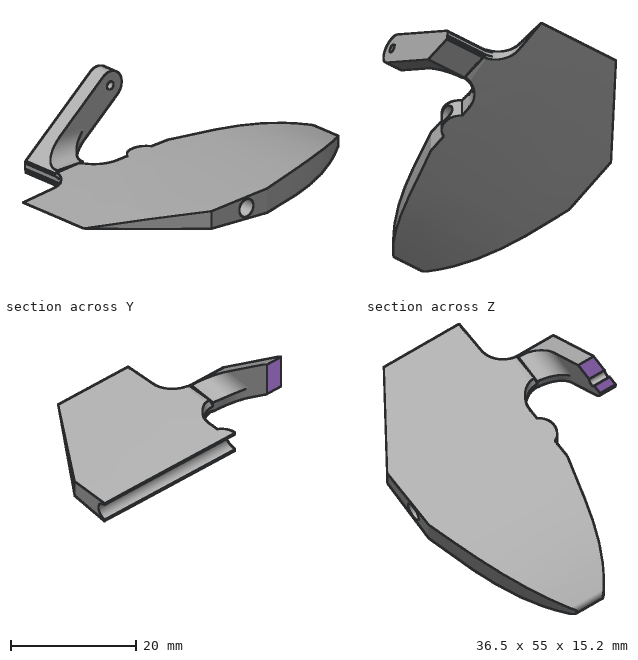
import cadquery as cq
import math

length = 55
width = 36.5

root_x = 11.05
root_top_y = 31.15
outer_top_y = 29.4
outer_bottom_y = 17.5
tail_right_x = 25.5
tip_left_x = 20.3
tip_right_x = 25.15
nose_start_y = 54.3
nose_left_x = 19.6
nose_right_x = 25.9

max_half_thickness = 2.25
thickest_y = 36.3
nose_half_thickness = 0.9
tail_half_thickness = 0.03

pivot_y = 24.95
lug_radius = 2.95
lug_reach = 1.55
pivot_diameter = 3.0

link_front_y = 10.35
link_back_y = 16.45
link_edge_half = 0.47
front_bevel = 0.15
front_half = 0.8
back_bevel = 0.8
back_half = 1.2

arm_thickness = 3.0
arm_radius = 2.5
arm_hole_diameter = 1.4
arm_hole_y = 25.95
arm_hole_z = 10.45
arm_bottom_z = -1.2
arm_fillet = 3.5

slot_radius = (root_x - arm_thickness) / 2
slot_x = arm_thickness + slot_radius
slot_y = link_back_y + slot_radius
front_corner_y = link_front_y - slot_radius
diagonal = math.sqrt(0.5)

clear_height = 33


def plan_prism(sketch):
    return sketch.extrude(clear_height).translate((0, 0, -clear_height / 2))


def make_blade_plan():
    outline = (
        cq.Workplane("XY")
        .moveTo(root_x, 0)
        .lineTo(root_x, root_top_y)
        .spline([(13.8, 41.6), (16.7, 49.5), (nose_left_x, nose_start_y)], includeCurrent=True)
        .lineTo(tip_left_x, length)
        .lineTo(tip_right_x, length)
        .lineTo(nose_right_x, nose_start_y)
        .spline([(29.0, 49.5), (32.6, 41.6), (34.85, 34.9), (width, outer_top_y)], includeCurrent=True)
        .lineTo(width, outer_bottom_y)
        .lineTo(tail_right_x, 0)
        .close()
    )
    lug = cq.Workplane("XY").center(root_x - lug_reach + lug_radius, pivot_y).circle(lug_radius)
    return plan_prism(outline).union(plan_prism(lug))


def make_airfoil():
    upper = [(49.5, 1.7), (thickest_y, max_half_thickness), (24.75, 1.9), (11, 1.05), (0, tail_half_thickness)]
    lower = [(y, -z) for y, z in reversed(upper[:-1])]
    return (
        cq.Workplane("YZ")
        .moveTo(nose_start_y, nose_half_thickness)
        .spline(upper, includeCurrent=True)
        .lineTo(0, -tail_half_thickness)
        .spline(lower + [(nose_start_y, -nose_half_thickness)], includeCurrent=True)
        .threePointArc((length, 0), (nose_start_y, nose_half_thickness))
        .close()
        .extrude(width)
    )


def make_link_plan():
    bend = slot_radius * diagonal
    return plan_prism(
        cq.Workplane("XY")
        .moveTo(0, link_front_y)
        .lineTo(slot_x, link_front_y)
        .threePointArc((slot_x + bend, front_corner_y + bend), (root_x, front_corner_y))
        .lineTo(root_x, slot_y)
        .threePointArc((slot_x + bend, slot_y - bend), (slot_x, link_back_y))
        .lineTo(0, link_back_y)
        .close()
    )


def link_section(front_y, back_y, edge_half, front_z, back_z):
    upper = [
        (front_y, edge_half),
        (front_y + front_bevel, front_z),
        (back_y - back_bevel, back_z),
        (back_y, edge_half),
    ]
    return upper + [(y, -z) for y, z in reversed(upper)]


def make_link(airfoil):
    thin = link_section(link_front_y, link_back_y, link_edge_half, front_half, back_half)
    root_growth = 0.9
    thick = link_section(
        front_corner_y,
        slot_y,
        link_edge_half + root_growth,
        front_half + root_growth,
        back_half + root_growth,
    )
    bar = cq.Workplane("YZ").polyline(thin).close().extrude(slot_x)
    flare = (
        cq.Workplane("YZ", origin=(slot_x, 0, 0))
        .polyline(thin)
        .close()
        .workplane(offset=root_x - slot_x)
        .polyline(thick)
        .close()
        .loft(ruled=True)
    )
    return bar.union(flare).intersect(airfoil).intersect(make_link_plan())


def make_corner_bevel(center_y, slope):
    rise = max_half_thickness - link_edge_half
    spread = rise * slope
    cone = (
        cq.Workplane("XY", origin=(slot_x, center_y, link_edge_half))
        .circle(slot_radius)
        .workplane(offset=rise)
        .center(-spread, 0)
        .circle(slot_radius + spread)
        .loft(ruled=True)
    )
    link_side = (
        cq.Workplane("XY")
        .box(slot_radius, slot_y - front_corner_y, clear_height, centered=(False, False, True))
        .translate((slot_x, front_corner_y, 0))
    )
    upper = cone.intersect(link_side)
    return upper.union(upper.mirror("XY"))


def make_arm():
    reach_y = arm_hole_y - link_front_y - front_bevel
    reach_z = arm_hole_z - front_half
    tilt = math.atan2(reach_z, reach_y) + math.asin(arm_radius / math.hypot(reach_y, reach_z))
    across_y = arm_radius * math.sin(tilt)
    across_z = arm_radius * math.cos(tilt)
    lower_y = arm_hole_y + across_y
    lower_z = arm_hole_z - across_z
    heel_y = lower_y - (lower_z - arm_bottom_z) / math.tan(tilt)
    body = (
        cq.Workplane("YZ")
        .moveTo(link_front_y + front_bevel, front_half)
        .lineTo(arm_hole_y - across_y, arm_hole_z + across_z)
        .threePointArc(
            (arm_hole_y + arm_radius * math.cos(tilt), arm_hole_z + arm_radius * math.sin(tilt)),
            (lower_y, lower_z),
        )
        .lineTo(heel_y, arm_bottom_z)
        .lineTo(link_front_y + front_bevel, arm_bottom_z)
        .lineTo(link_front_y + front_bevel, -front_half)
        .lineTo(link_front_y, -link_edge_half)
        .lineTo(link_front_y, link_edge_half)
        .close()
        .extrude(slot_x)
    )
    fillet_end_x = arm_thickness + arm_fillet
    fillet_z = back_half + arm_fillet
    above_link = (
        cq.Workplane("XZ")
        .moveTo(arm_thickness, clear_height)
        .lineTo(arm_thickness, fillet_z)
        .threePointArc(
            (fillet_end_x - arm_fillet * diagonal, fillet_z - arm_fillet * diagonal),
            (fillet_end_x, back_half),
        )
        .lineTo(root_x, back_half)
        .lineTo(root_x, clear_height)
        .close()
        .extrude(-length)
    )
    slot = plan_prism(
        cq.Workplane("XY")
        .moveTo(arm_thickness, length)
        .lineTo(arm_thickness, slot_y)
        .threePointArc((slot_x, link_back_y), (root_x, slot_y))
        .lineTo(root_x, length)
        .close()
    )
    hole = (
        cq.Workplane("YZ").center(arm_hole_y, arm_hole_z).circle(arm_hole_diameter / 2).extrude(arm_thickness)
    )
    return body.cut(above_link).cut(slot).cut(hole)


airfoil = make_airfoil()
blade = make_blade_plan().intersect(airfoil)
pivot_bore = cq.Workplane("YZ").center(pivot_y, 0).circle(pivot_diameter / 2).extrude(width)

front_slope = front_bevel / (front_half - link_edge_half)
back_slope = back_bevel / (back_half - link_edge_half)

result = (
    blade.cut(pivot_bore)
    .union(make_link(airfoil))
    .cut(make_corner_bevel(front_corner_y, front_slope))
    .cut(make_corner_bevel(slot_y, back_slope))
    .union(make_arm())
)